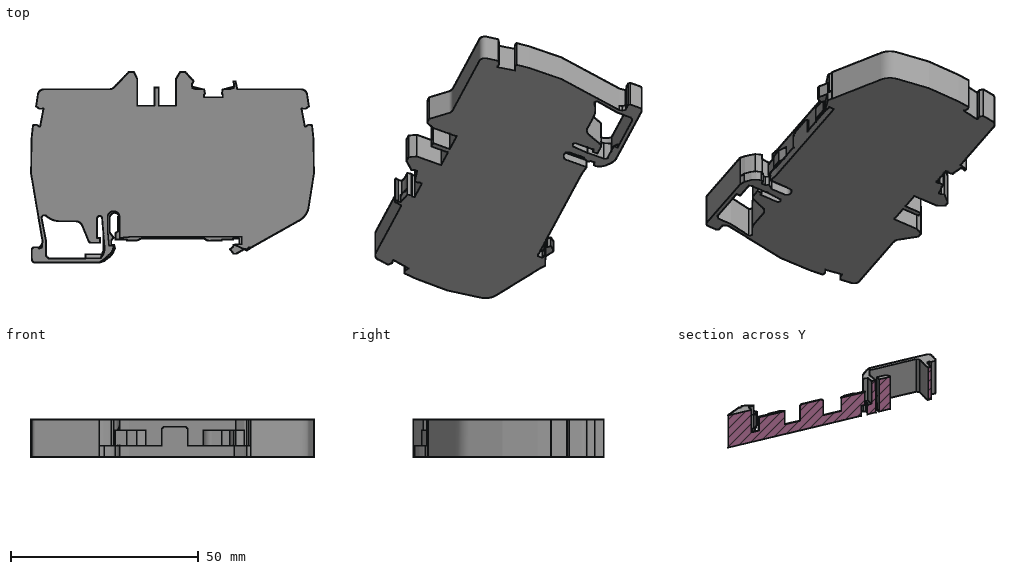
import cadquery as cq
import math

LENGTH = 75.4
HEIGHT = 50.85
THICKNESS = 10.0
MID_X = LENGTH / 2

LOW_LAYER = 3.1
CORE_TOP = 7.2
TAB_TOP = 8.1

SHOULDER_Y = 46.25
HORN_TIP_WIDTH = 1.35
HORN_FOOT_Y = 48.95

BAY_LEFT = 28.35
BAY_RIGHT = 38.6
BAY_FLOOR = 41.9
BLADE_LEFT = 32.9
BLADE_RIGHT = 34.1
BLADE_TOP = 46.7

POCKET_LEFT = 46.2
POCKET_RIGHT = 51.1
POCKET_FLOOR = 44.1
POCKET_LIP = 0.2
LEDGE_LEFT = 42.9
LEDGE_RIGHT = 54.0
LEDGE_RISE = 0.7

BULGE_LOW_Y = 23.8
BULGE_HIGH_Y = 33.2

FOOT_LEFT = 0.2
FOOT_TOP = 4.15
FOOT_RIGHT = 18.2
FOOT_RADIUS = 1.0
FOOT_WALL = 1.1
ARM_END = (3.1, 5.6)

SLOT_LEFT = 20.45
SLOT_RIGHT = 23.6
SLOT_TOP = 13.7
SLOT_END_Y = 12.4
SLOT_RIM = 0.45
SPRING_RIM = 0.6
RIM_TOP_Y = 12.2
SPRING_INNER_X = 19.2

RAIL_FACE = 6.9
RAIL_STEP = 0.45
LOW_FACE = RAIL_FACE - RAIL_STEP
PAD_FACE = 5.9
PAD_SHOULDER = 6.2
RAIL_END = 56.1
RAIL_END_STEP = 0.7
RAIL_END_Y = 5.0
SEAT_START = 26.2

TAB_LEFT = 34.85
TAB_RIGHT = 41.8
TAB_CHAMFER = 0.5


def prism(points, bottom, top):
    """Straight-sided outline extruded from bottom to top."""
    return cq.Workplane("XY").workplane(offset=bottom).polyline(points).close().extrude(top - bottom)


def mirrored(points):
    """The points mirrored to the other side of the plate, in reverse order."""
    return [(2 * MID_X - x, y) for x, y in reversed(points)]


def plate():
    """Full-height plate with the outline of the upper layer."""
    ear_tip = (1.8, 44.65)
    ear_start = (3.4, SHOULDER_Y)
    ear_mid = (2.35, 45.8)
    side = [
        (0, BULGE_LOW_Y), (0.15, BULGE_HIGH_Y), (0.5, 36.65), (1.5, 36.8), (2.4, 36.2),
        (3.3, 41.0), (2.3, 40.95), (1.35, 41.6), ear_tip,
    ]
    right_side = mirrored(side)
    left_horn = [
        (26.1, HEIGHT), (26.1 + HORN_TIP_WIDTH, HEIGHT), (BAY_LEFT, HORN_FOOT_Y),
    ]
    bay = [
        (BAY_LEFT, BAY_FLOOR), (BLADE_LEFT, BAY_FLOOR), (BLADE_LEFT, BLADE_TOP),
        (BLADE_RIGHT, BLADE_TOP), (BLADE_RIGHT, BAY_FLOOR), (BAY_RIGHT, BAY_FLOOR),
    ]
    right_horn = [
        (BAY_RIGHT, HORN_FOOT_Y), (39.75, HEIGHT), (39.75 + HORN_TIP_WIDTH, HEIGHT), (43.4, 48.35),
    ]
    pocket = [
        (LEDGE_LEFT, 47.6), (LEDGE_LEFT, 46.55), (43.9, SHOULDER_Y), (POCKET_LEFT, SHOULDER_Y),
        (POCKET_LEFT + POCKET_LIP, 45.1), (POCKET_LEFT, 44.7),
        (POCKET_LEFT, POCKET_FLOOR), (POCKET_RIGHT, POCKET_FLOOR),
        (POCKET_RIGHT, 44.7), (POCKET_RIGHT - POCKET_LIP, 45.1),
        (POCKET_RIGHT, SHOULDER_Y), (52.95, SHOULDER_Y), (LEDGE_RIGHT, 46.55),
    ]
    small_horn = [(54.1, 47.6), (53.85, 48.35), (54.5, 48.35), (55.0, SHOULDER_Y)]
    right_ear_start = (2 * MID_X - ear_start[0], ear_start[1])
    right_ear_mid = (2 * MID_X - ear_mid[0], ear_mid[1])
    rail_foot = [
        (58.6, 4.0), (58.1, 4.1), (57.55, 3.6), (56.7, 3.7), (54.5, 4.6), (54.5, 4.8), (RAIL_END, RAIL_END_Y),
        (RAIL_END, RAIL_FACE), (SEAT_START, RAIL_FACE), (SLOT_RIGHT, 6.65), (SLOT_RIGHT, SLOT_END_Y),
    ]
    spring = [
        (SLOT_LEFT, 8.45), (20.8, 4.6), (22.1, 4.45), (21.8, 3.5),
        (21.4, 2.7), (20.7, 1.95), (19.4, 0.8), (18.55, 0.3),
    ]
    foot_inset = FOOT_RADIUS * (1 - math.sqrt(0.5))

    outline = (
        cq.Workplane("XY").polyline(side)
        .threePointArc(ear_mid, ear_start)
        .lineTo(20.9, SHOULDER_Y)
        .tangentArcPoint((22.1, 46.7), relative=False)
        .polyline(left_horn + bay + right_horn + pocket + small_horn + [right_ear_start], includeCurrent=True)
        .threePointArc(right_ear_mid, right_side[0])
        .polyline(right_side[1:], includeCurrent=True)
        .lineTo(74.0, 14.8)
        .tangentArcPoint((71.5, 11.25), relative=False)
        .polyline(rail_foot, includeCurrent=True)
        .threePointArc(((SLOT_LEFT + SLOT_RIGHT) / 2, SLOT_TOP), (SLOT_LEFT, SLOT_END_Y))
        .polyline(spring + [(FOOT_RIGHT, 0), (FOOT_LEFT + FOOT_RADIUS, 0)], includeCurrent=True)
        .threePointArc((FOOT_LEFT + foot_inset, foot_inset), (FOOT_LEFT, FOOT_RADIUS))
        .polyline([(FOOT_LEFT, 3.7), (0.7, FOOT_TOP), (1.9, FOOT_TOP), (2.2, 3.8), (2.95, 4.0), ARM_END],
                  includeCurrent=True)
        .close()
    )
    return outline.extrude(THICKNESS)


def window():
    """Opening between the arm, the foot and the spring, with the slit beside the spring."""
    outline = (
        cq.Workplane("XY").moveTo(4.75, FOOT_WALL)
        .lineTo(4.1, 1.8)
        .lineTo(4.1, 5.7)
        .lineTo(2.9, 12.0)
        .threePointArc((3.3, 12.6), (4.15, 12.4))
        .threePointArc((5.8, 11.4), (7.6, 11.0))
        .lineTo(11.9, 11.0)
        .tangentArcPoint((13.65, 9.9), relative=False)
        .lineTo(15.3, 5.8)
        .tangentArcPoint((16.1, 5.3), relative=False)
        .lineTo(18.4, 5.3)
        .lineTo(18.4, 6.65)
        .lineTo(17.65, 6.65)
        .lineTo(17.65, 11.85)
        .threePointArc((18.25, 12.45), (18.9, 11.85))
        .lineTo(SPRING_INNER_X, 8.3)
        .lineTo(19.6, 4.5)
        .threePointArc((19.4, 2.5), (18.5, FOOT_WALL))
        .close()
    )
    return outline.extrude(THICKNESS)


def lower_layer():
    """Lower layer that stands out of the plate along the spring, the slot and the rail seat."""
    slot_left = SLOT_LEFT + SPRING_RIM
    slot_top = SLOT_TOP - SLOT_RIM
    corner = [(19.5, 0.45), (21.2, 1.7), (21.95, 2.7), (22.4, 3.9)]
    nose = [(22.2, 4.75), (21.4, 4.75), (21.4, 5.9), (22.0, 6.7), (slot_left, 8.1), (slot_left, RIM_TOP_Y)]
    rail_end = RAIL_END - RAIL_END_STEP
    rail = [
        (SLOT_RIGHT, 6.1), (SEAT_START, LOW_FACE), (rail_end, LOW_FACE), (rail_end, RAIL_END_Y),
        (54.15, 4.8), (54.15, 4.5), (56.7, 3.6), (57.5, 3.25), (58.5, 3.9),
    ]
    backing = [(58.5, 4.9), (58.5, 8.3), (24.9, 8.3), (24.9, 15.1), (19.9, 15.1), (19.9, 3), (18.85, 1.1)]
    outline = (
        cq.Workplane("XY").moveTo(FOOT_RIGHT, 0)
        .polyline(corner + nose, includeCurrent=True)
        .threePointArc(((slot_left + SLOT_RIGHT) / 2, slot_top), (SLOT_RIGHT, RIM_TOP_Y))
        .polyline(rail + backing, includeCurrent=True)
        .close()
    )
    return outline.extrude(LOW_LAYER)


def middle_tab():
    """Tab of the lower layer that climbs up the rail seat."""
    tab = [
        (TAB_LEFT, 0), (TAB_LEFT, TAB_TOP - TAB_CHAMFER), (TAB_LEFT + TAB_CHAMFER, TAB_TOP),
        (TAB_RIGHT - TAB_CHAMFER, TAB_TOP), (TAB_RIGHT, TAB_TOP - TAB_CHAMFER), (TAB_RIGHT, 0),
    ]
    depth = 2 * RAIL_STEP
    return cq.Workplane("XZ").workplane(offset=-LOW_FACE).polyline(tab).close().extrude(-depth)


def rail_pads():
    """Two stepped pads on the rail seat; the left one ends in a nub that narrows the slot."""
    inside = RAIL_FACE + 0.75
    left = [
        (22.5, PAD_SHOULDER), (25.6, PAD_SHOULDER), (25.6, PAD_FACE), (28.2, PAD_FACE), (30.55, RAIL_FACE),
        (30.55, inside), (24.4, inside), (24.4, RIM_TOP_Y), (SLOT_RIGHT - SLOT_RIM, RIM_TOP_Y),
        (SLOT_RIGHT - SLOT_RIM, 8.4), (22.5, 7.9),
    ]
    right_steps = [
        (50.85, PAD_FACE), (50.85, PAD_SHOULDER), (53.85, PAD_SHOULDER), (53.85, inside), (45.9, inside),
    ]
    right = (
        cq.Workplane("XY").workplane(offset=LOW_LAYER).moveTo(45.9, RAIL_FACE)
        .threePointArc((46.6, 6.1), (48.05, PAD_FACE))
        .polyline(right_steps, includeCurrent=True)
        .close().extrude(CORE_TOP - LOW_LAYER)
    )
    return prism(left, LOW_LAYER, CORE_TOP).union(right)


def slot_ramp():
    """Sloped top of the rim on the right wall of the slot."""
    start_y = 9.6
    rim_x = SLOT_RIGHT - SLOT_RIM
    high = 8.3
    overlap = 0.75
    low = CORE_TOP - overlap
    back = SLOT_RIGHT + overlap
    ramp = [(rim_x, low), (rim_x, CORE_TOP), (SLOT_RIGHT, high), (back, high), (back, low)]
    return cq.Workplane("XZ").workplane(offset=-start_y).polyline(ramp).close().extrude(start_y - RIM_TOP_Y)


def rail_hook():
    """Pointed hook below the right end of the rail seat."""
    hook = [
        (53.85, 4.75), (53.85, 4.3), (53.0, 3.6), (54.0, 2.35), (54.6, 2.35), (56.9, 3.6), (56.9, 4.9),
    ]
    return prism(hook, LOW_LAYER, CORE_TOP)


def spring_backing():
    """Thickening of the spring on its window side."""
    strip = [
        (SPRING_INNER_X, 7.9), (SPRING_INNER_X, 3.0), (18.8, 1.9), (18.5, 0.9), (19.6, 1.9), (20.1, 4.5),
    ]
    return prism(strip, 0, CORE_TOP)


def foot_gusset():
    """Ramp at the bottom of the window, leaning on the foot wall."""
    left = 14.5
    right = 19.0
    width = 1.1
    rise = 1.6
    back = FOOT_WALL - 0.4
    ramp = [(back, 0), (FOOT_WALL + width, 0), (FOOT_WALL, rise), (back, rise)]
    return cq.Workplane("YZ").workplane(offset=left).polyline(ramp).close().extrude(right - left)


def arm_gusset():
    """Low web filling the corner between the arm and the foot."""
    top = 2.1
    web = [ARM_END, (2.9, 4.8), (2.35, FOOT_TOP), (1.7, FOOT_TOP), (2.3, 3.4), (3.5, 3.8)]
    return prism(web, 0, top)


def pocket_ledges():
    """Low wedges that slope from the horns down to the square pocket."""
    overlap = 0.4
    base = SHOULDER_Y - overlap
    high = SHOULDER_Y + LEDGE_RISE
    left = [(LEDGE_LEFT - overlap, base), (LEDGE_LEFT, high), (45.7, SHOULDER_Y), (45.7, base)]
    right = [(LEDGE_RIGHT + overlap, base), (LEDGE_RIGHT, high), (51.4, SHOULDER_Y), (51.4, base)]
    return prism(left, 0, LOW_LAYER).union(prism(right, 0, LOW_LAYER))


result = plate().cut(window())
for feature in (lower_layer, middle_tab, rail_pads, slot_ramp, rail_hook, spring_backing,
                foot_gusset, arm_gusset, pocket_ledges):
    result = result.union(feature())